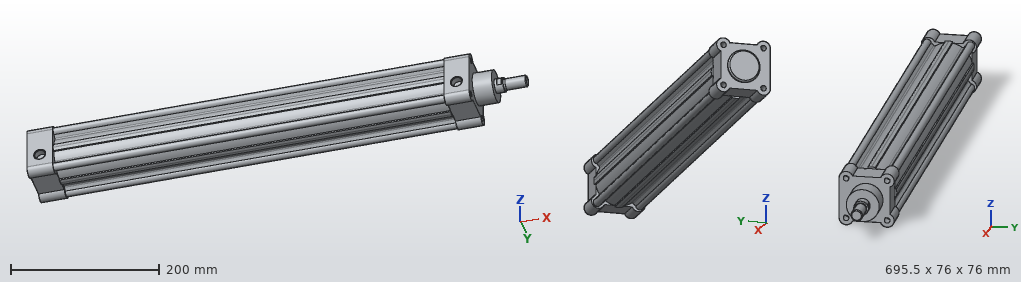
import cadquery as cq
import math

total_length = 695.5
rear_boss_length = 4.0
rear_cap_length = 36.0
front_cap_start = 589.0
front_cap_length = 35.5
collar_end = 651.5
rear_cap_end = rear_boss_length + rear_cap_length
front_cap_end = front_cap_start + front_cap_length

cap_width = 76.0
screw_pitch = 56.0
screw_offset = screw_pitch / 2
lobe_radius = (cap_width - screw_pitch) / 2
cap_flat_offset = 32.0
screw_hole_diameter = 7.5
screw_hole_depth = 17.0
collar_diameter = 45.0
boss_chamfer = 2.0

port_diameter = 14.5
port_chamfer = 1.05
port_depth = 10.5
port_height = -10.5

barrel_diameter = 65.0
barrel_radius = barrel_diameter / 2
rib_offset = 30.0
rib_lobe_radius = 5.5
rib_web_width = 9.0
rib_root_fillet = 2.0
ridge_half_width = 5.2
ridge_edge_offset = 34.0
ridge_apex_offset = 35.0

rod_diameter = 20.0
rod_flats_width = 17.5
rod_flats_start = 655.0
rod_flats_end = 661.0
thread_start = 663.5
thread_diameter = 16.0
thread_chamfer = 1.5
relief_length = 3.0
relief_diameter = 15.0

screw_points = [
    (side_y * screw_offset, side_z * screw_offset)
    for side_y in (-1, 1)
    for side_z in (-1, 1)
]


def section_at(x):
    """Sketch plane across the axis: local x is +Y, local y is +Z, extruding toward +X."""
    return cq.Workplane("YZ", origin=(x, 0, 0))


def cylinder_along_x(start, end, diameter):
    return section_at(start).circle(diameter / 2).extrude(end - start)


def cap_block(start, length):
    """Cap body of two overlapping blocks and four lobes, with its -Y face flush with the lobes."""
    block_width = cap_flat_offset + screw_offset
    block = (
        section_at(start)
        .center((cap_flat_offset - screw_offset) / 2, 0)
        .rect(block_width, 2 * cap_flat_offset)
        .extrude(length)
    )
    port_slab = (
        section_at(start)
        .center(-screw_offset, 0)
        .rect(2 * lobe_radius, screw_pitch)
        .extrude(length)
    )
    lobes = section_at(start).pushPoints(screw_points).circle(lobe_radius).extrude(length)
    return block.union(port_slab).union(lobes)


def cut_port(cap, centre_x):
    """Cut a blind port whose mouth widens by a small chamfer."""
    mouth_radius = port_diameter / 2 + port_chamfer
    mouth = cq.Workplane("XY").add(
        cq.Solid.makeCone(
            mouth_radius,
            port_diameter / 2,
            port_chamfer,
            cq.Vector(centre_x, -cap_width / 2, port_height),
            cq.Vector(0, 1, 0),
        )
    )
    port = (
        cq.Workplane("XZ", origin=(centre_x, -cap_width / 2, port_height))
        .circle(port_diameter / 2)
        .extrude(-port_depth)
        .union(mouth)
    )
    return cap.cut(port)


def cut_screw_holes(cap, start):
    holes = (
        section_at(start)
        .pushPoints(screw_points)
        .circle(screw_hole_diameter / 2)
        .extrude(screw_hole_depth)
    )
    return cap.cut(holes)


def make_rear_cap():
    cap = cap_block(rear_boss_length, rear_cap_length)
    boss = cylinder_along_x(0, rear_boss_length, collar_diameter)
    cap = cap.union(boss.faces("<X").chamfer(boss_chamfer))
    cap = cut_screw_holes(cap, rear_boss_length)
    return cut_port(cap, rear_boss_length + rear_cap_length / 2)


def make_front_cap():
    cap = cap_block(front_cap_start, front_cap_length)
    collar = cylinder_along_x(front_cap_end, collar_end, collar_diameter)
    cap = cap.union(collar)
    cap = cap.cut(cylinder_along_x(front_cap_start, collar_end, rod_diameter))
    cap = cut_screw_holes(cap, front_cap_end - screw_hole_depth)
    return cut_port(cap, front_cap_start + front_cap_length / 2)


def is_rib_root(edge):
    """True for the straight inner corners where a rib web leaves the round tube body."""
    y, z = edge.Center().y, edge.Center().z
    on_tube = math.isclose(math.hypot(y, z), barrel_radius, abs_tol=0.1)
    near_diagonal = abs(abs(y) - abs(z)) < 2 * rib_web_width
    return on_tube and near_diagonal


def quarter_turns(first_angle):
    """The four angles about the axis, a quarter turn apart."""
    return [first_angle + 90 * quarter for quarter in range(4)]


def make_barrel():
    length = front_cap_start - rear_cap_end
    rib_reach = math.hypot(rib_offset, rib_offset)
    web = (
        section_at(rear_cap_end)
        .center(rib_reach / 2, 0)
        .rect(rib_reach, rib_web_width)
        .extrude(length)
    )
    lobe = section_at(rear_cap_end).center(rib_reach, 0).circle(rib_lobe_radius).extrude(length)
    ridge = (
        section_at(rear_cap_end)
        .polyline([
            (0, -ridge_half_width),
            (ridge_edge_offset, -ridge_half_width),
            (ridge_apex_offset, 0),
            (ridge_edge_offset, ridge_half_width),
            (0, ridge_half_width),
        ])
        .close()
        .extrude(length)
    )
    barrel = cylinder_along_x(rear_cap_end, front_cap_start, barrel_diameter)
    for angle in quarter_turns(45):
        barrel = barrel.union(web.rotate((0, 0, 0), (1, 0, 0), angle))
    rib_roots = [edge for edge in barrel.edges("|X").vals() if is_rib_root(edge)]
    barrel = barrel.newObject(rib_roots).fillet(rib_root_fillet)
    for angle in quarter_turns(45):
        barrel = barrel.union(lobe.rotate((0, 0, 0), (1, 0, 0), angle))
    for angle in quarter_turns(0):
        barrel = barrel.union(ridge.rotate((0, 0, 0), (1, 0, 0), angle))
    return barrel


def make_rod():
    shank = cylinder_along_x(front_cap_start, thread_start, rod_diameter)
    flats_length = rod_flats_end - rod_flats_start
    wide = 2 * rod_diameter
    flats_stock = section_at(rod_flats_start).rect(wide, wide).extrude(flats_length)
    flats_core = section_at(rod_flats_start).rect(rod_flats_width, wide).extrude(flats_length)
    thread = cylinder_along_x(thread_start, total_length, thread_diameter)
    thread = thread.faces(">X").chamfer(thread_chamfer)
    relief_end = thread_start + relief_length
    relief = cylinder_along_x(thread_start, relief_end, thread_diameter).cut(
        cylinder_along_x(thread_start, relief_end, relief_diameter)
    )
    return shank.cut(flats_stock.cut(flats_core)).union(thread.cut(relief))


rear_cap = make_rear_cap()
barrel = make_barrel()
front_cap = make_front_cap()
rod = make_rod()

result = cq.Compound.makeCompound([rear_cap.val(), barrel.val(), front_cap.val(), rod.val()])